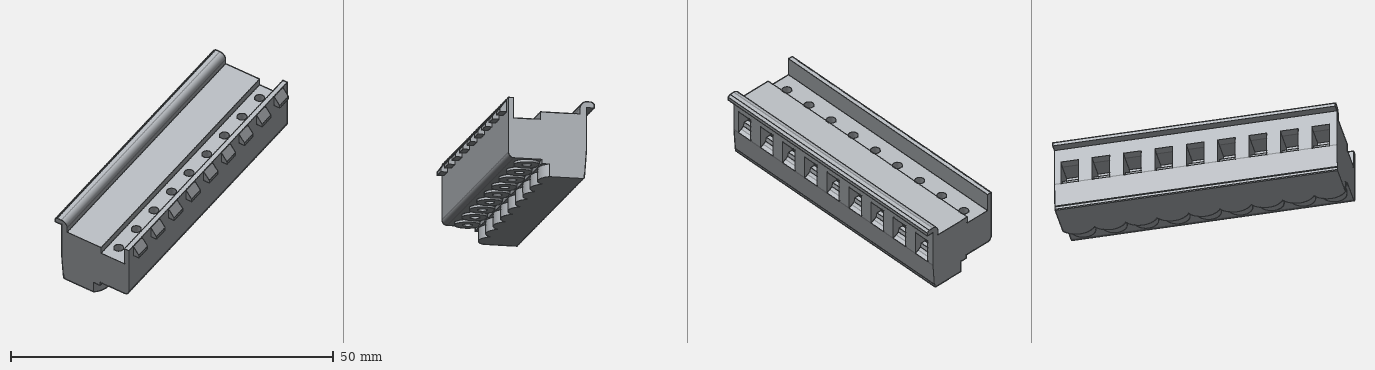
import cadquery as cq
import math

pole_count = 9
length = 45.0
pitch = length / pole_count

lip_underside_z = 11.4
height = 12.35
lip_chamfer_run = 0.4
lip_chamfer_drop = 0.35
front_x = 1.2
lip_back_x = 2.25
lip_round = 1.1
deck_z = 10.3
step_x = 8.55
trough_z = 9.1
rear_wall_x = 12.85
rear_x = 13.7
rear_round = 0.85
rear_underside_z = 2.7
foot_back_x = 8.35

window_sill_z = 4.72
lean_angle = 4.1
foot_strip_top = 0.6
foot_ledge = 0.1
foot_chamfer = 0.15

lobe_rise = 1.2
lobe_top_z = 2.02

window_width = 2.8
window_shift = 0.1
window_top_z = 8.95
mouth_depth = 1.1
roof_drop = 0.2
sill_run = 0.65
sill_rise = 0.3
ramp_top_z = 5.4
ramp_run = 0.2
shelf_x = front_x + mouth_depth + ramp_run
shelf_z = 6.08
shelf_length = 0.75
shelf_step_x = shelf_x + shelf_length
shelf_step = 0.15
window_depth = 4.05

hole_x = 10.15
hole_diameter = 1.55
boss_diameter = 4.05
boss_bottom_z = 2.3
latch_width = 2.48
latch_tip_x = 14.7
latch_top_z = 12.25
latch_tip_z = 10.85
latch_overlap = 0.22

pole_positions = [(i - (pole_count - 1) / 2) * pitch for i in range(pole_count)]


def extrude_along_y(outline, width, centre_y=0.0):
    """Extrude a closed XZ outline to both sides of centre_y."""
    return outline.close().extrude(width / 2, both=True).translate((0, centre_y, 0))


def make_body():
    ledge_top = foot_strip_top + foot_ledge
    lean_x = front_x + (window_sill_z - ledge_top) * math.tan(math.radians(lean_angle))
    foot_x = lean_x + foot_ledge
    diagonal = lip_round * math.sqrt(0.5)
    lip_round_centre = (lip_back_x - lip_round, height - lip_round)
    outline = (
        cq.Workplane("XZ")
        .moveTo(0, lip_underside_z)
        .lineTo(0, height - lip_chamfer_drop)
        .lineTo(lip_chamfer_run, height)
        .lineTo(lip_round_centre[0], height)
        .threePointArc(
            (lip_round_centre[0] + diagonal, lip_round_centre[1] + diagonal),
            (lip_back_x, lip_round_centre[1]),
        )
        .lineTo(lip_back_x, deck_z)
        .lineTo(step_x, deck_z)
        .lineTo(step_x, trough_z)
        .lineTo(rear_wall_x, trough_z)
        .lineTo(rear_wall_x, height)
        .lineTo(rear_x, height)
        .lineTo(rear_x, rear_underside_z + rear_round)
        .tangentArcPoint((rear_x - rear_round, rear_underside_z), relative=False)
        .lineTo(foot_back_x, rear_underside_z)
        .lineTo(foot_back_x, 0)
        .lineTo(foot_x + foot_chamfer, 0)
        .lineTo(foot_x, foot_chamfer)
        .lineTo(foot_x, foot_strip_top)
        .lineTo(lean_x, ledge_top)
        .lineTo(front_x, window_sill_z)
        .lineTo(front_x, lip_underside_z)
    )
    return extrude_along_y(outline, length)


def make_foot_scallops():
    """Material to remove behind the foot, leaving one rounded lobe per pole with cusps between them."""
    lobe_radius = (lobe_rise**2 + (pitch / 2) ** 2) / (2 * lobe_rise)
    behind_foot = cq.Workplane("XY").box(
        lobe_rise, length, lobe_top_z, centered=(False, True, False)
    ).translate((foot_back_x - lobe_rise, 0, 0))
    lobes = (
        cq.Workplane("XY")
        .pushPoints([(foot_back_x - lobe_radius, y) for y in pole_positions])
        .circle(lobe_radius)
        .extrude(lobe_top_z)
    )
    return behind_foot.cut(lobes)


def make_window(centre_y):
    """Wire entry: a funnel mouth with a ramped floor that ends on a stepped shelf."""
    roof_z = window_top_z - roof_drop
    back_x = front_x + window_depth
    outline = (
        cq.Workplane("XZ")
        .moveTo(front_x, window_top_z)
        .lineTo(front_x, window_sill_z)
        .lineTo(front_x + sill_run, window_sill_z + sill_rise)
        .tangentArcPoint((front_x + mouth_depth, ramp_top_z), relative=False)
        .lineTo(shelf_x, shelf_z)
        .lineTo(shelf_step_x, shelf_z)
        .lineTo(shelf_step_x, shelf_z + shelf_step)
        .lineTo(back_x, shelf_z + shelf_step)
        .lineTo(back_x, roof_z)
        .lineTo(front_x + mouth_depth, roof_z)
    )
    return extrude_along_y(outline, window_width, centre_y)


def make_latch(centre_y):
    """Wedge-shaped latch on the outside of the rear wall."""
    outline = (
        cq.Workplane("XZ")
        .moveTo(rear_x - latch_overlap, deck_z)
        .lineTo(latch_tip_x, deck_z)
        .lineTo(latch_tip_x, latch_tip_z)
        .lineTo(rear_x, latch_top_z)
        .lineTo(rear_x - latch_overlap, latch_top_z)
    )
    return extrude_along_y(outline, latch_width, centre_y)


def make_cylinders(diameter, bottom_z, top_z):
    """One upright cylinder on each pin axis."""
    return (
        cq.Workplane("XY", origin=(0, 0, bottom_z))
        .pushPoints([(hole_x, y) for y in pole_positions])
        .circle(diameter / 2)
        .extrude(top_z - bottom_z)
    )


result = make_body().cut(make_foot_scallops())
result = result.union(make_cylinders(boss_diameter, boss_bottom_z, trough_z))
for y in pole_positions:
    result = result.union(make_latch(y))
    result = result.cut(make_window(y + window_shift))
result = result.cut(make_cylinders(hole_diameter, 0, height))